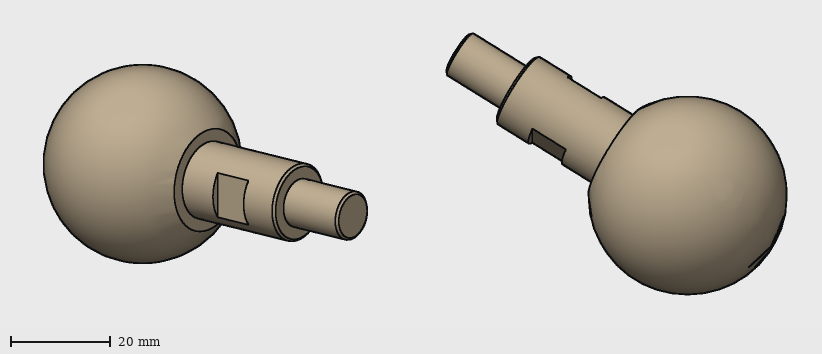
import cadquery as cq

total_length = 75.0
ball_diameter = 40.0
ball_face_to_tip = 38.0
shank_diameter = 16.0
shank_length = 24.0
stem_diameter = 10.0
edge_chamfer = 0.5
flat_offset = 8.0
flat_length = 8.0
across_flats = 13.0

ball_radius = ball_diameter / 2
tip_x = total_length - ball_radius
ball_face_x = tip_x - ball_face_to_tip
shoulder_x = ball_face_x + shank_length
stem_length = tip_x - shoulder_x
flat_centre_x = ball_face_x + flat_offset + flat_length / 2


def cylinder_along_x(start_x, length, diameter):
    """Cylinder on the X axis."""
    return cq.Workplane("YZ", origin=(start_x, 0, 0)).circle(diameter / 2).extrude(length)


def make_ball():
    """Sphere truncated by a flat face towards the shank."""
    cutter = cylinder_along_x(ball_face_x, ball_radius, ball_diameter)
    return cq.Workplane("XY").sphere(ball_radius).cut(cutter)


def make_shank():
    """Shank with a chamfered shoulder and two opposite wrench flats."""
    shank = cylinder_along_x(ball_face_x, shank_length, shank_diameter)
    shank = shank.faces(">X").edges().chamfer(edge_chamfer)
    flat_depth = (shank_diameter - across_flats) / 2
    for side in (-1, 1):
        notch = cq.Workplane("XY").box(flat_length, flat_depth, shank_diameter)
        notch_y = side * (across_flats + flat_depth) / 2
        shank = shank.cut(notch.translate((flat_centre_x, notch_y, 0)))
    return shank


def make_stem():
    """Thin end stem with a chamfered tip."""
    stem = cylinder_along_x(shoulder_x, stem_length, stem_diameter)
    return stem.faces(">X").edges().chamfer(edge_chamfer)


result = make_ball().union(make_shank()).union(make_stem())